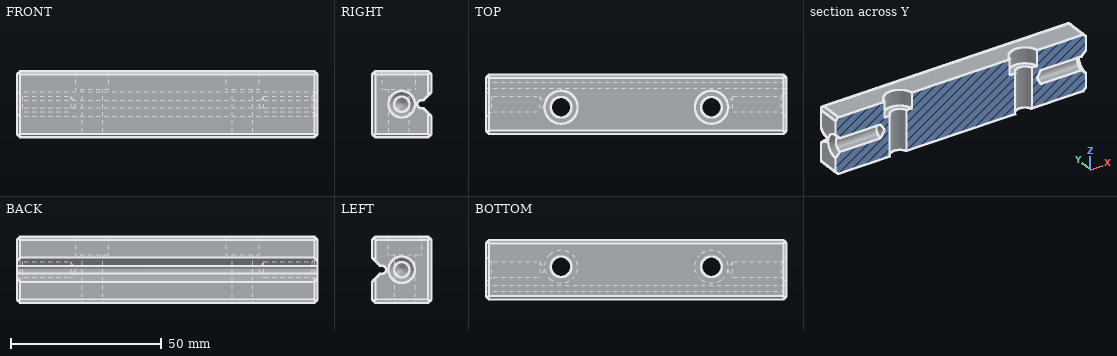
import cadquery as cq
import math

length = 100.0
width = 19.8
height = 22.0
edge_chamfer = 1.1

mount_spacing = length / 2
mount_y = -1.0
mount_diameter = 6.8
counterbore_diameter = 11.0
counterbore_depth = 6.1

end_hole_diameter = 5.1
end_hole_depth = 18.0
countersink_diameter = 8.8
countersink_angle = 90.0
drill_point_angle = 118.0

groove_mouth = 8.0
relief_radius = 1.3
relief_depth = 3.4


def cone_height(large_diameter, small_diameter, angle):
    """Axial length of a cone between two diameters, from its included angle."""
    return (large_diameter - small_diameter) / 2 / math.tan(math.radians(angle / 2))


def make_bar():
    """Box with every edge chamfered so that the chamfers meet in mitred corners."""
    box = cq.Workplane("XY").box(length, width, height)
    bar = box
    for edge_direction in ("|X", "|Y", "|Z"):
        bar = bar.intersect(box.edges(edge_direction).chamfer(edge_chamfer))
    return bar


def make_groove():
    """Cutter for the groove: the vee joined with its relief slot."""
    face_y = width / 2
    half_mouth = groove_mouth / 2
    vee = (
        cq.Workplane("YZ")
        .moveTo(face_y, -half_mouth)
        .lineTo(face_y - half_mouth, 0)
        .lineTo(face_y, half_mouth)
        .close()
        .extrude(length / 2, both=True)
    )
    relief = (
        cq.Workplane("YZ")
        .moveTo(face_y, -relief_radius)
        .lineTo(face_y - relief_depth, -relief_radius)
        .threePointArc(
            (face_y - relief_depth - relief_radius, 0),
            (face_y - relief_depth, relief_radius),
        )
        .lineTo(face_y, relief_radius)
        .close()
        .extrude(length / 2, both=True)
    )
    return vee.union(relief)


def cut_mounting_holes(body):
    return (
        body.faces(">Z")
        .workplane(origin=(0, mount_y, 0))
        .rarray(mount_spacing, 1, 2, 1)
        .cboreHole(mount_diameter, counterbore_diameter, counterbore_depth)
    )


def make_end_hole():
    """Cutter for the hole in the -X end: countersink, bore and drill point."""
    face_x = -length / 2
    bore_radius = end_hole_diameter / 2
    countersink_end = face_x + cone_height(countersink_diameter, end_hole_diameter, countersink_angle)
    bore_end = face_x + end_hole_depth
    drill_tip = bore_end + cone_height(end_hole_diameter, 0, drill_point_angle)
    return (
        cq.Workplane("XY")
        .moveTo(face_x, 0)
        .lineTo(face_x, countersink_diameter / 2)
        .lineTo(countersink_end, bore_radius)
        .lineTo(bore_end, bore_radius)
        .lineTo(drill_tip, 0)
        .close()
        .revolve(360, (0, 0, 0), (1, 0, 0))
    )


end_hole = make_end_hole()
bar = make_bar().cut(make_groove())
bar = cut_mounting_holes(bar)
result = bar.cut(end_hole).cut(end_hole.mirror("YZ"))